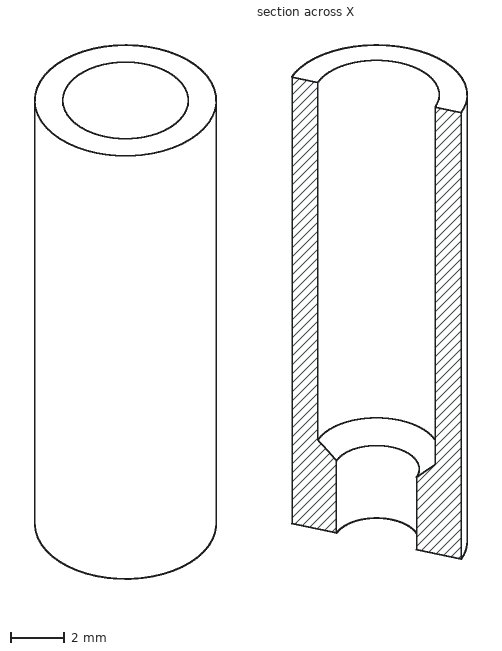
import cadquery as cq
import math

length = 20.0
outer_diameter = 6.8
bore_diameter = 4.7
outlet_diameter = 3.2
bore_depth = 16.0
seat_angle = 90.0

outer_radius = outer_diameter / 2
bore_radius = bore_diameter / 2
outlet_radius = outlet_diameter / 2

seat_height = (bore_radius - outlet_radius) / math.tan(math.radians(seat_angle / 2))
seat_top = length - bore_depth
seat_bottom = seat_top - seat_height

wall_section = (
    cq.Workplane("XZ")
    .moveTo(outlet_radius, 0)
    .lineTo(outer_radius, 0)
    .lineTo(outer_radius, length)
    .lineTo(bore_radius, length)
    .lineTo(bore_radius, seat_top)
    .lineTo(outlet_radius, seat_bottom)
    .close()
)

result = wall_section.revolve(360, (0, 0, 0), (0, 1, 0))